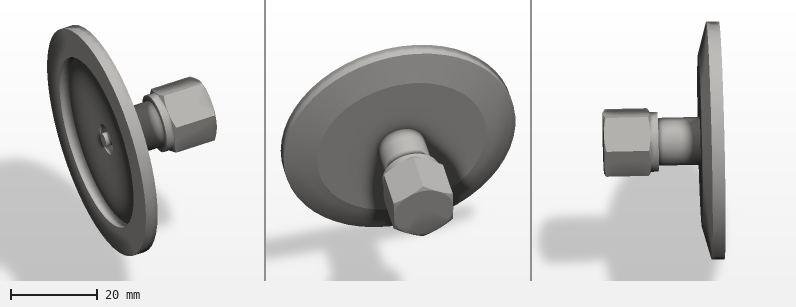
import cadquery as cq
import math


flange_diameter = 55.0
flange_thickness = 5.0
rim_width = 2.95
back_face_diameter = 40.15
recess_diameter = 41.2
recess_depth = 2.5

tube_diameter = 11.05
bore_diameter = 7.3
bore_depth = 2.15
pin_diameter = 3.25
pin_protrusion = 0.75
collar_diameter = 13.8
collar_start = 14.75
hex_start = 16.55
hex_end = 27.35
hex_across_flats = 14.0
hex_chamfer_length = 0.5
hex_end_diameter = 14.0

hex_across_corners = hex_across_flats / math.cos(math.pi / 6)


def cylinder(diameter, start, end):
    """Solid cylinder along Y between two Y positions."""
    return cq.Workplane("XZ", origin=(0, start, 0)).circle(diameter / 2).extrude(start - end)


def make_flange():
    """Tapered disc with a front recess and a central hole for the tube."""
    half_profile = [
        (0, 0),
        (flange_diameter / 2, 0),
        (flange_diameter / 2, rim_width),
        (back_face_diameter / 2, flange_thickness),
        (0, flange_thickness),
    ]
    disc = cq.Workplane("XY").polyline(half_profile).close().revolve(360, (0, 0), (0, 1))
    recess = cylinder(recess_diameter, 0, recess_depth)
    tube_hole = cylinder(tube_diameter, 0, flange_thickness)
    return disc.cut(recess).cut(tube_hole)


def make_hex():
    """Hexagon with corners on the Z axis, its corners chamfered at both ends."""
    prism = (
        cq.Workplane("XZ", origin=(0, hex_start, 0))
        .transformed(rotate=(0, 0, 90))
        .polygon(6, hex_across_corners)
        .extrude(hex_start - hex_end)
    )
    half_profile = [
        (0, hex_start),
        (hex_end_diameter / 2, hex_start),
        (hex_across_corners / 2, hex_start + hex_chamfer_length),
        (hex_across_corners / 2, hex_end - hex_chamfer_length),
        (hex_end_diameter / 2, hex_end),
        (0, hex_end),
    ]
    envelope = cq.Workplane("XY").polyline(half_profile).close().revolve(360, (0, 0), (0, 1))
    return prism.intersect(envelope)


def make_connector():
    """Tube with collar and hexagon, and a pin standing in its blind front bore."""
    bore_floor = recess_depth + bore_depth
    tube = cylinder(tube_diameter, recess_depth, collar_start)
    bore = cylinder(bore_diameter, recess_depth, bore_floor)
    pin = cylinder(pin_diameter, recess_depth - pin_protrusion, bore_floor)
    collar = cylinder(collar_diameter, collar_start, hex_start)
    return tube.cut(bore).union(pin).union(collar).union(make_hex())


flange = make_flange()
connector = make_connector()

result = cq.Compound.makeCompound([flange.val(), connector.val()])